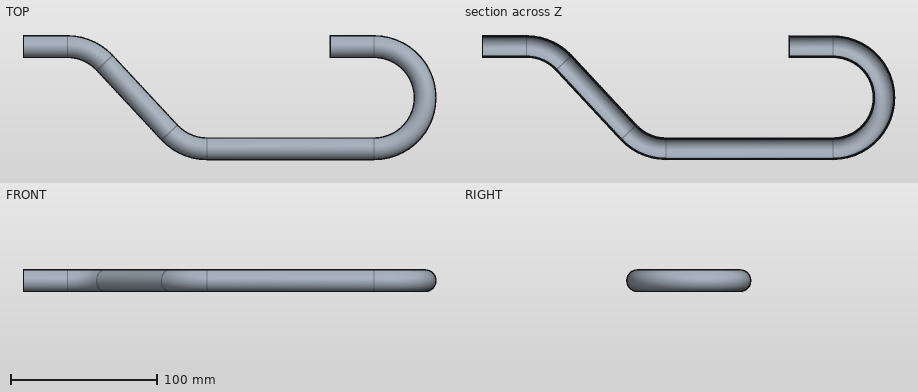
import cadquery as cq
import math

outer_diameter = 15.0
inner_diameter = 13.0

bend_radius = 35.0
end_length = 30.0
slant_angle = math.radians(47.05)
u_bend_x = 240.0

offset_bend_pitch = 2 * bend_radius / math.sin(slant_angle)

bend_line_y = -bend_radius
low_y = -2 * bend_radius
first_bend_x = end_length
second_bend_x = first_bend_x + offset_bend_pitch


def bend_point(center_x, angle):
    """Point on a bend centreline, with the angle measured from +X."""
    return (
        center_x + bend_radius * math.cos(angle),
        bend_line_y + bend_radius * math.sin(angle),
    )


def centreline():
    """Tail, S-shaped offset, long run, U-bend and return tail."""
    up = math.pi / 2
    down = -math.pi / 2
    slant_start_angle = up - slant_angle
    slant_end_angle = slant_start_angle + math.pi
    return (
        cq.Workplane("XY")
        .moveTo(0, 0)
        .lineTo(first_bend_x, 0)
        .threePointArc(
            bend_point(first_bend_x, up - slant_angle / 2),
            bend_point(first_bend_x, slant_start_angle),
        )
        .lineTo(*bend_point(second_bend_x, slant_end_angle))
        .threePointArc(
            bend_point(second_bend_x, down - slant_angle / 2),
            bend_point(second_bend_x, down),
        )
        .lineTo(u_bend_x, low_y)
        .threePointArc(bend_point(u_bend_x, 0), bend_point(u_bend_x, up))
        .lineTo(u_bend_x - end_length, 0)
    )


def tube():
    """Ring section swept along the centreline, open at both ends."""
    section = (
        cq.Workplane("YZ")
        .circle(outer_diameter / 2)
        .circle(inner_diameter / 2)
    )
    return section.sweep(centreline())


result = tube()